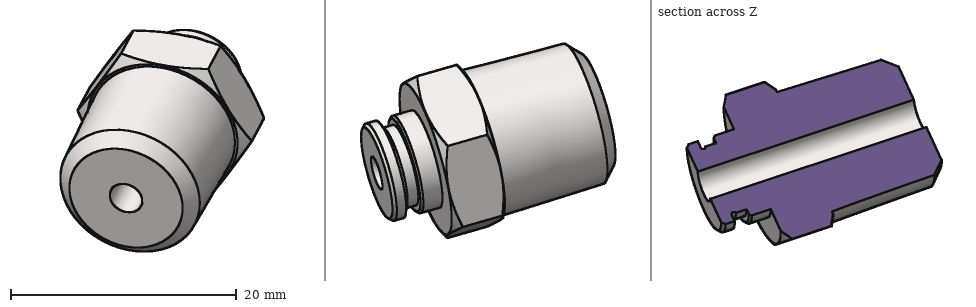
import cadquery as cq
import math

total_length = 20.6
hex_across_flats = 14.0
hex_length = 5.0
bore_diameter = 3.0

thread_length = 11.0
tip_chamfer_length = 1.2
tip_face_diameter = 10.5
thread_small_diameter = 12.95
thread_large_diameter = 13.43

collar_diameter = 9.0
collar_length = 2.0
neck_base_diameter = 7.45
neck_diameter = 7.5
neck_length = 1.0
groove_diameter = 7.13
groove_length = 0.4
edge_chamfer = 0.2
ring_chamfer = 0.3

hex_face_diameter = 13.93
hex_chamfer_angle = 30.0

hex_end = thread_length + hex_length
collar_end = hex_end + collar_length
neck_end = collar_end + neck_length
ring_start = neck_end + groove_length


def revolve_profile(points):
    """Turn a closed (radius, axial position) outline about the Y axis."""
    outline = cq.Workplane("XY").polyline(points).close()
    return outline.revolve(360, (0, 0, 0), (0, 1, 0))


def make_thread_body():
    return revolve_profile([
        (0, 0),
        (tip_face_diameter / 2, 0),
        (thread_small_diameter / 2, tip_chamfer_length),
        (thread_large_diameter / 2, thread_length),
        (0, thread_length),
    ])


def make_hexagon():
    across_corners = hex_across_flats / math.cos(math.pi / 6)
    prism = (
        cq.Workplane("XZ", origin=(0, thread_length, 0))
        .polygon(6, across_corners)
        .extrude(-hex_length)
    )
    face_radius = hex_face_diameter / 2
    corner_radius = across_corners / 2
    drop = (corner_radius - face_radius) * math.tan(math.radians(hex_chamfer_angle))
    chamfer_envelope = revolve_profile([
        (0, thread_length),
        (face_radius, thread_length),
        (corner_radius, thread_length + drop),
        (corner_radius, hex_end - drop),
        (face_radius, hex_end),
        (0, hex_end),
    ])
    return prism.intersect(chamfer_envelope)


def make_tube_end():
    collar_radius = collar_diameter / 2
    neck_radius = neck_diameter / 2
    groove_radius = groove_diameter / 2
    outline = (
        cq.Workplane("XY")
        .moveTo(0, hex_end)
        .lineTo(collar_radius, hex_end)
        .lineTo(collar_radius, collar_end - edge_chamfer)
        .lineTo(collar_radius - edge_chamfer, collar_end)
        .lineTo(neck_base_diameter / 2, collar_end)
        .lineTo(neck_radius, neck_end)
        .threePointArc((groove_radius, neck_end + groove_length / 2), (neck_radius, ring_start))
        .lineTo(collar_radius, ring_start)
        .lineTo(collar_radius, total_length - ring_chamfer)
        .lineTo(collar_radius - ring_chamfer, total_length)
        .lineTo(0, total_length)
        .close()
    )
    return outline.revolve(360, (0, 0, 0), (0, 1, 0))


def make_bore():
    return cq.Workplane("XZ").circle(bore_diameter / 2).extrude(-total_length)


result = make_thread_body().union(make_hexagon()).union(make_tube_end()).cut(make_bore())